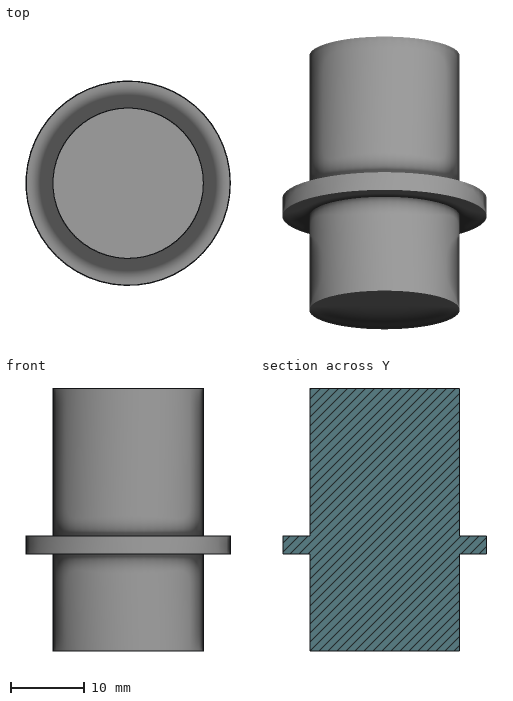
import cadquery as cq

body_diameter = 20.6
flange_diameter = 28.0
total_height = 36.0
flange_thickness = 2.5
lower_length = 13.3

body = cq.Workplane("XY").circle(body_diameter / 2).extrude(total_height)

flange = (
    cq.Workplane("XY", origin=(0, 0, lower_length))
    .circle(flange_diameter / 2)
    .extrude(flange_thickness)
)

result = body.union(flange)